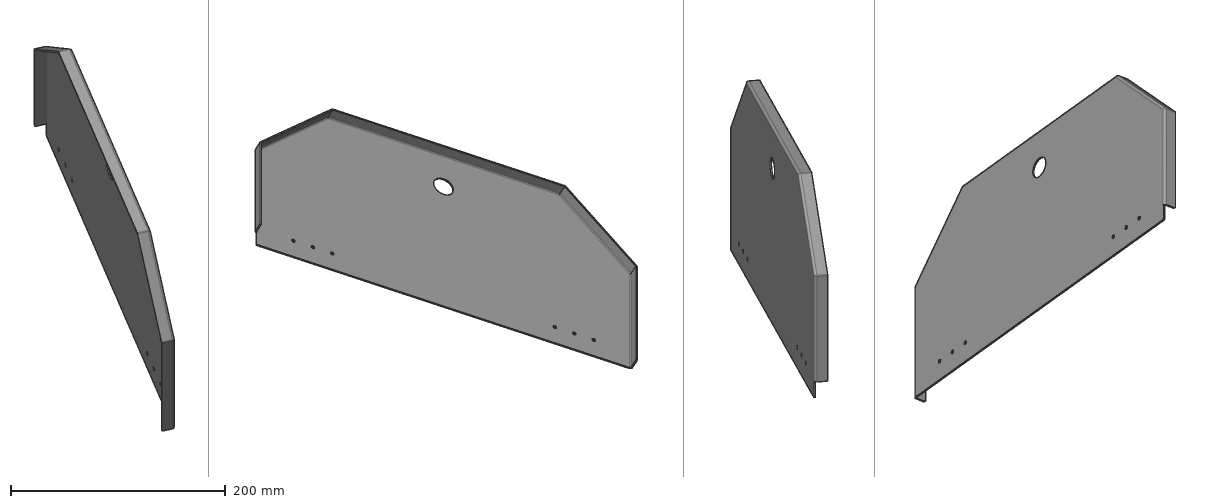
import cadquery as cq

length = 388.5
depth = 13.0
height = 197.0

sheet = 1.5
bend_outer_radius = 2.52
bend_inner_radius = bend_outer_radius - sheet
shoulder_radius = 1.5
shoulder = 74.0

notch_height = 16.5
notch_width = 1.5
corner_radius = 1.5

handle_diameter = 20.2
handle_drop = 41.0
screw_diameter = 3.5
screw_span = 40.0
screw_count = 3
screw_pitch = screw_span / (screw_count - 1)
screw_edge_distance = 39.5
screw_rise = 20.5

half_length = length / 2
top = height / 2
bottom = -height / 2
back = depth / 2
front = -depth / 2
plate_front = back - sheet


def outline_prism(inset, y_start, y_end, base):
    """Prism of the cut-cornered outline, its upper sides moved inward by inset."""
    side = half_length - inset
    roof = top - inset
    cut = shoulder - inset * (2 - 2 ** 0.5)
    points = [
        (-side, base),
        (-side, roof - cut),
        (-side + cut, roof),
        (side - cut, roof),
        (side, roof - cut),
        (side, base),
    ]
    return (
        cq.Workplane("XZ", origin=(0, y_start, 0))
        .polyline(points).close()
        .extrude(y_start - y_end)
    )


def through_holes(centres, diameter):
    """Cylinders that pass through the back plate."""
    return (
        cq.Workplane("XZ", origin=(0, back, 0))
        .pushPoints(centres)
        .circle(diameter / 2)
        .extrude(depth)
    )


def round_edge(body, direction, point, radius):
    """Round the one edge along the given direction that lies closest to point."""
    edge = body.edges(direction).edges(cq.selectors.NearestToPointSelector(point))
    return edge.fillet(radius)


def folded_tray():
    """Back plate with flanges on every side except the bottom."""
    shell = outline_prism(0, back, front, bottom)
    for x_side in (-1, 1):
        for corner in ((half_length, top - shoulder), (half_length - shoulder, top)):
            point = (x_side * corner[0], 0, corner[1])
            shell = round_edge(shell, "|Y", point, shoulder_radius)
    shell = shell.faces(">Y").edges("not <Z").fillet(bend_outer_radius)
    hollow = outline_prism(sheet, plate_front, front, bottom)
    hollow = hollow.faces(">Y").edges("not <Z").fillet(bend_inner_radius)
    return shell.cut(hollow)


def lower_left_opening():
    """Space cleared of the flange and its bend at the lower left corner."""
    return (
        cq.Workplane("XY")
        .box(bend_outer_radius, depth, notch_height, centered=False)
        .translate((-half_length, front, bottom))
    )


def lower_left_tab():
    """Flat strip that carries the back plate on beside the opening."""
    return (
        cq.Workplane("XY")
        .box(bend_outer_radius - notch_width, sheet, notch_height, centered=False)
        .translate((notch_width - half_length, plate_front, bottom))
    )


handle_hole = through_holes([(0, top - handle_drop)], handle_diameter)

screw_centres = []
for index in range(screw_count):
    x = half_length - screw_edge_distance - index * screw_pitch
    screw_centres += [(-x, bottom + screw_rise), (x, bottom + screw_rise)]
screw_holes = through_holes(screw_centres, screw_diameter)

body = folded_tray().cut(lower_left_opening()).union(lower_left_tab())

flange_middle = half_length - sheet / 2
body = round_edge(body, "|X", (flange_middle, front, bottom), corner_radius)
body = round_edge(body, "|X", (-flange_middle, front, bottom + notch_height), corner_radius)
body = round_edge(body, "|Y", (notch_width - half_length, back - sheet / 2, bottom), corner_radius)

result = body.cut(handle_hole).cut(screw_holes)